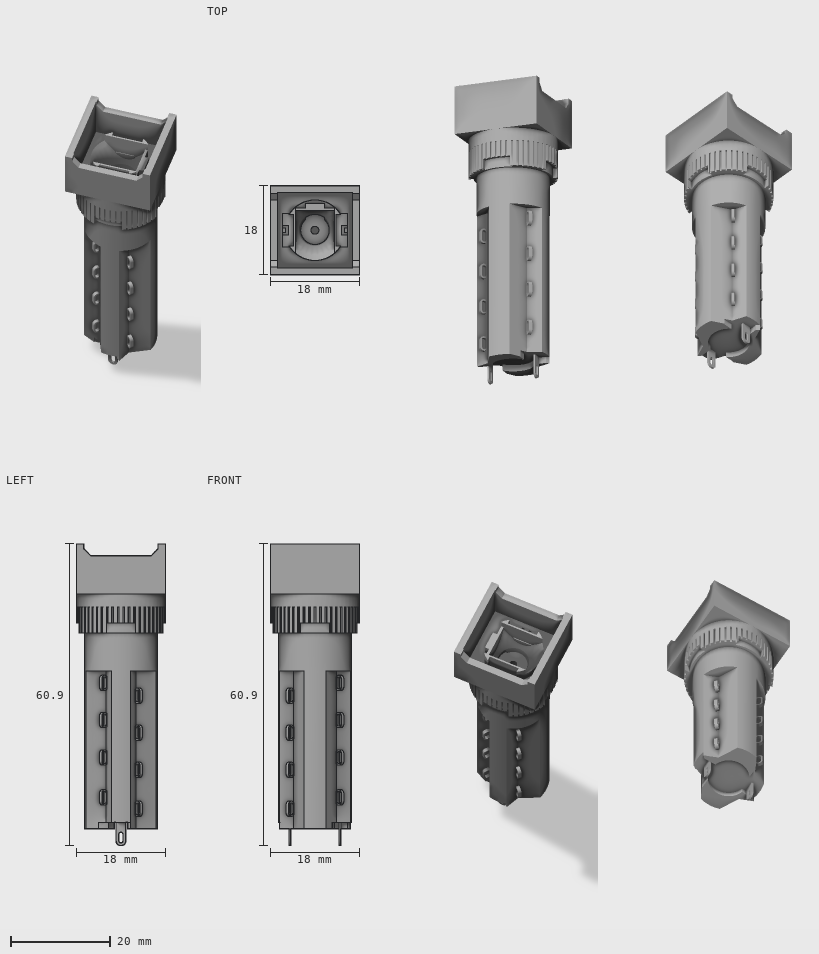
import cadquery as cq
import math


head_size = 18.0
head_top = 18.0
frame_bottom = 7.9
frame_wall = 1.4
frame_floor = frame_bottom + frame_wall
cutout_half_top = 7.45
cutout_half_bottom = 6.1
cutout_lip = 1.0
cutout_depth = 2.4

collar_diameter = head_size
knurl_count = 50
knurl_width = 0.34
knurl_depth = 0.4
knurl_top = 5.3
window_width = 5.9
window_height = 2.0
window_floor_diameter = 16.0

plug_diameter = 12.2
wing_reach = 6.53
wing_half_width = 3.4
rim_top = 12.9
saddle_top = 11.3
plate_half_spacing = 4.28
plate_half_width = 3.2
well_half_width = 3.95
well_waist_half_width = 3.8
well_waist_front = -2.25
well_waist_back = 1.75
well_waist_top = 8.8
plug_back = 4.5
back_tab_reach = 5.4
back_tab_width = 3.8
latch_length = 1.18
latch_width = 2.0
latch_core_length = 0.55
latch_core_width = 1.0
latch_depth = 0.5

cone_bottom_diameter = 6.4
cone_bottom = 6.5
seat_diameter = 5.75
seat_depth = 1.0
keyway_width = 3.8
lamp_hole_diameter = 1.6
lamp_hole_depth = 3.0

barrel_diameter = 14.8
barrel_length = 7.7
block_pitch = 7.5
block_count = 4
last_block_extra = 1.8
y_lobe_half_width = 2.25
x_lobe_half_width = 1.9
groove_x = 4.3
groove_y = 3.05

recess_depth = 1.3
recess_bore_diameter = 8.4
channel_width = 2.65
pocket_inner_x = 3.4
pocket_reach_y = 4.5
pin_spacing = 10.1
pin_thickness = 0.4
pin_width = 2.0
pin_length = 4.7
pin_slot_width = 0.8
pin_slot_length = 2.1
pin_tip_margin = 0.6

tab_thickness = 0.7
tab_height = 3.1
tab_depth = 1.65
tab_slot_height = 2.4
tab_slot_depth = 0.95
tab_outer_reach = 6.85
tab_side_shift = 1.05
upper_tab_drops = [2.35, 9.85, 17.4, 25.45]
lower_tab_drops = [4.95, 12.4, 19.9, 27.75]

barrel_radius = barrel_diameter / 2
barrel_bottom = -barrel_length
y_lobe_edge = math.sqrt(barrel_radius**2 - y_lobe_half_width**2)
x_lobe_edge = math.sqrt(barrel_radius**2 - x_lobe_half_width**2)
stack_bottom = barrel_bottom - block_count * block_pitch - last_block_extra
recess_ceiling = stack_bottom + recess_depth
inner_size = head_size - 2 * frame_wall


def box(x0, x1, y0, y1, z0, z1):
    """Box between two opposite corners."""
    return cq.Workplane("XY").box(x1 - x0, y1 - y0, z1 - z0, centered=False).translate((x0, y0, z0))


def rod(diameter, z0, z1):
    """Vertical cylinder on the main axis."""
    return cq.Workplane("XY", origin=(0, 0, z0)).circle(diameter / 2).extrude(z1 - z0)


def socket_envelope(z0, z1):
    """Round core with two side wings: the plug, and the matching opening in the head."""
    wings = box(-wing_reach, wing_reach, -wing_half_width, wing_half_width, z0, z1)
    return rod(plug_diameter, z0, z1).union(wings)


def side_cutout():
    """Chamfered dip through the tops of the two X walls."""
    cutout_bottom = head_top - cutout_depth
    return (
        cq.Workplane("YZ")
        .moveTo(-cutout_half_top, head_top)
        .lineTo(-cutout_half_top, head_top - cutout_lip)
        .lineTo(-cutout_half_bottom, cutout_bottom)
        .lineTo(cutout_half_bottom, cutout_bottom)
        .lineTo(cutout_half_top, head_top - cutout_lip)
        .lineTo(cutout_half_top, head_top)
        .close()
        .extrude(head_size, both=True)
    )


def knurl_grooves():
    """Narrow axial grooves around the collar, one of them facing -Y."""
    radius = collar_diameter / 2
    return (
        cq.Workplane("XY")
        .polarArray(radius, -90, 360, knurl_count)
        .rect(2 * knurl_depth, knurl_width)
        .extrude(knurl_top)
    )


def collar_windows():
    """Four notches in the lower edge of the collar, one on each side."""
    across_x = box(-head_size, head_size, -window_width / 2, window_width / 2, 0, window_height)
    across_y = across_x.rotate((0, 0, 0), (0, 0, 1), 90)
    return across_x.union(across_y).cut(rod(window_floor_diameter, 0, window_height))


def make_head():
    half = head_size / 2
    half_inner = inner_size / 2
    frame = box(-half, half, -half, half, frame_bottom, head_top)
    frame = frame.cut(box(-half_inner, half_inner, -half_inner, half_inner, frame_floor, head_top))
    frame = frame.cut(side_cutout())
    collar = rod(collar_diameter, 0, frame_bottom).cut(knurl_grooves()).cut(collar_windows())
    return frame.union(collar).cut(socket_envelope(0, frame_floor))


def latch(side):
    """U-shaped groove in the outer end of a wing; side is +1 or -1 along X."""
    z0 = frame_floor - latch_depth
    start = wing_reach - latch_length
    core_start = wing_reach - latch_core_length
    groove = box(start, wing_reach, -latch_width / 2, latch_width / 2, z0, frame_floor)
    core = box(core_start, wing_reach, -latch_core_width / 2, latch_core_width / 2, z0, frame_floor)
    groove = groove.cut(core)
    return groove if side > 0 else groove.mirror("YZ")


def well_waists():
    """Flat pads that narrow the well between its two side walls."""
    pads = cq.Workplane("XY")
    for x0, x1 in (
        (-well_half_width, -well_waist_half_width),
        (well_waist_half_width, well_half_width),
    ):
        pads = pads.add(box(x0, x1, well_waist_front, well_waist_back, cone_bottom, well_waist_top))
    return pads.combine()


def plug_rim():
    """Rim of the plug that stands above the floor of the frame."""
    rim = rod(plug_diameter, frame_floor, rim_top)
    rim = rim.cut(box(-head_size, head_size, plug_back, head_size, frame_floor, rim_top))
    for x0, x1 in ((-head_size, -plate_half_spacing), (plate_half_spacing, head_size)):
        rim = rim.cut(box(x0, x1, -plate_half_width, plate_half_width, frame_floor, rim_top))
    saddle = box(-well_half_width, well_half_width, -head_size, head_size, saddle_top, rim_top)
    half_tab = back_tab_width / 2
    back_tab = box(-half_tab, half_tab, well_half_width, back_tab_reach, frame_floor, saddle_top)
    return rim.cut(saddle).union(back_tab)


def lamp_well():
    """Cone cropped by flat walls, with a tapered seat and a small hole below it."""
    cone = (
        cq.Workplane("XZ")
        .moveTo(0, cone_bottom)
        .lineTo(cone_bottom_diameter / 2, cone_bottom)
        .lineTo(plug_diameter / 2, saddle_top)
        .lineTo(0, saddle_top)
        .close()
        .revolve(360, (0, 0, 0), (0, 1, 0))
    )
    crop = box(-well_half_width, well_half_width, -head_size, well_half_width, cone_bottom, saddle_top)
    crop = crop.cut(well_waists())
    seat_floor = cone_bottom - seat_depth
    seat = (
        cq.Workplane("XY", origin=(0, 0, seat_floor))
        .circle(seat_diameter / 2)
        .workplane(offset=seat_depth)
        .circle(cone_bottom_diameter / 2)
        .loft()
    )
    hole = rod(lamp_hole_diameter, seat_floor - lamp_hole_depth, seat_floor)
    keyway = rod(cone_bottom_diameter, seat_floor, cone_bottom).intersect(
        box(-keyway_width / 2, keyway_width / 2, 0, cone_bottom_diameter, seat_floor, cone_bottom)
    )
    return cone.intersect(crop).union(seat).union(keyway).union(hole)


def contact_stack():
    """Column with four lobes between V grooves, running down from the barrel."""
    return (
        cq.Workplane("XY", origin=(0, 0, stack_bottom))
        .moveTo(x_lobe_edge, -x_lobe_half_width)
        .threePointArc((barrel_radius, 0), (x_lobe_edge, x_lobe_half_width))
        .lineTo(groove_x, groove_y)
        .lineTo(y_lobe_half_width, y_lobe_edge)
        .threePointArc((0, barrel_radius), (-y_lobe_half_width, y_lobe_edge))
        .lineTo(-groove_x, groove_y)
        .lineTo(-x_lobe_edge, x_lobe_half_width)
        .threePointArc((-barrel_radius, 0), (-x_lobe_edge, -x_lobe_half_width))
        .lineTo(-groove_x, -groove_y)
        .lineTo(-y_lobe_half_width, -y_lobe_edge)
        .threePointArc((0, -barrel_radius), (y_lobe_half_width, -y_lobe_edge))
        .lineTo(groove_x, -groove_y)
        .close()
        .extrude(barrel_bottom - stack_bottom)
    )


def underside_recess():
    """Bore, channel along X and two opposite corner pockets in the bottom of the stack."""
    z0, z1 = stack_bottom, recess_ceiling
    half_channel = channel_width / 2
    channel = box(-head_size, head_size, -half_channel, half_channel, z0, z1)
    recess = rod(recess_bore_diameter, z0, z1).union(channel)
    pocket = box(-head_size, -pocket_inner_x, 0, pocket_reach_y, z0, z1)
    tip = (
        cq.Workplane("XY", origin=(0, 0, z0))
        .moveTo(-x_lobe_edge, -x_lobe_half_width)
        .lineTo(-x_lobe_edge + x_lobe_half_width - half_channel, -half_channel)
        .lineTo(-head_size, -half_channel)
        .lineTo(-head_size, -x_lobe_half_width)
        .close()
        .extrude(z1 - z0)
    )
    one_side = pocket.union(tip)
    other_side = one_side.rotate((0, 0, 0), (0, 0, 1), 180)
    return recess.union(one_side).union(other_side)


def lamp_pin(x):
    """Flat pin with a round tip and a slotted eye."""
    tip_z = recess_ceiling - pin_length
    tip_radius = pin_width / 2
    slot_middle = tip_z + pin_tip_margin + pin_slot_length / 2
    return (
        cq.Workplane("YZ", origin=(x - pin_thickness / 2, 0, 0))
        .moveTo(-tip_radius, recess_ceiling)
        .lineTo(-tip_radius, tip_z + tip_radius)
        .threePointArc((0, tip_z), (tip_radius, tip_z + tip_radius))
        .lineTo(tip_radius, recess_ceiling)
        .close()
        .extrude(pin_thickness)
        .cut(
            cq.Workplane("YZ", origin=(x - pin_thickness / 2, 0, slot_middle))
            .slot2D(pin_slot_length, pin_slot_width, 90)
            .extrude(pin_thickness)
        )
    )


def contact_tab(x_side, y_side, z):
    """Upright loop standing out of one V groove along the diagonal."""
    middle = tab_outer_reach - tab_depth / 2
    loop = (
        cq.Workplane("XZ", origin=(middle, tab_thickness / 2 - tab_side_shift, z))
        .slot2D(tab_height, tab_depth, 90)
        .slot2D(tab_slot_height, tab_slot_depth, 90)
        .extrude(tab_thickness)
        .rotate((0, 0, 0), (0, 0, 1), 45)
    )
    if x_side < 0:
        loop = loop.mirror("YZ")
    if y_side < 0:
        loop = loop.mirror("XZ")
    return loop


def make_switch_body():
    body = socket_envelope(0, frame_floor).cut(latch(1)).cut(latch(-1))
    body = body.union(plug_rim()).cut(lamp_well())
    body = body.union(rod(barrel_diameter, barrel_bottom, 0))
    body = body.union(contact_stack().cut(underside_recess()))
    for x in (-pin_spacing / 2, pin_spacing / 2):
        body = body.union(lamp_pin(x))
    for x_side in (-1, 1):
        for y_side in (-1, 1):
            drops = lower_tab_drops if x_side == y_side else upper_tab_drops
            for drop in drops:
                body = body.union(contact_tab(x_side, y_side, barrel_bottom - drop))
    return body


head = make_head()
switch_body = make_switch_body()
result = cq.Compound.makeCompound([head.val(), switch_body.val()])